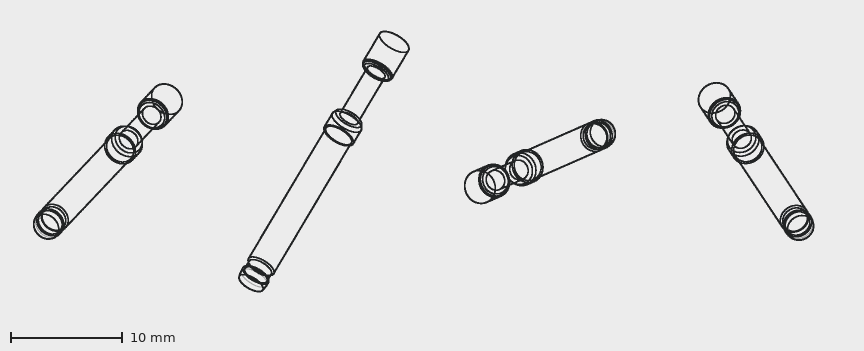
import cadquery as cq

total_length = 27.8
ridge_round_end = 0.6
groove_start = 0.95
groove_end = 1.78
body_start = 1.95
collar_start = 17.0
collar_end = 19.0
lip_start = 24.3
lip_bevel_end = 24.4
head_step = 24.58

head_diameter = 3.0
lip_diameter = 2.84
lip_face_diameter = 2.5
collar_diameter = head_diameter
collar_end_diameter = 2.65
stem_diameter = 1.8
body_diameter = 2.65
groove_diameter = 2.3
tail_end_diameter = 2.45

collar_bevel_length = 0.4


def pin_profile():
    """Half outline in the XY plane: X is the radius, Y runs from tail to head."""
    body_radius = body_diameter / 2
    groove_radius = groove_diameter / 2
    collar_radius = collar_diameter / 2
    stem_radius = stem_diameter / 2
    lip_radius = lip_diameter / 2
    head_radius = head_diameter / 2
    return (
        cq.Workplane("XY")
        .moveTo(0, total_length)
        .lineTo(head_radius, total_length)
        .lineTo(head_radius, head_step)
        .lineTo(lip_radius, head_step)
        .lineTo(lip_radius, lip_bevel_end)
        .lineTo(lip_face_diameter / 2, lip_start)
        .lineTo(stem_radius, lip_start)
        .lineTo(stem_radius, collar_end)
        .lineTo(collar_end_diameter / 2, collar_end)
        .lineTo(collar_radius, collar_end - collar_bevel_length)
        .lineTo(collar_radius, collar_start)
        .lineTo(body_radius, collar_start)
        .lineTo(body_radius, body_start)
        .lineTo(groove_radius, groove_end)
        .lineTo(groove_radius, groove_start)
        .lineTo(body_radius, groove_start)
        .lineTo(body_radius, ridge_round_end)
        .tangentArcPoint((tail_end_diameter / 2, 0), relative=False)
        .lineTo(0, 0)
        .close()
    )


pin = pin_profile().revolve(360, (0, 0, 0), (0, 1, 0))
result = pin.translate((0, -total_length / 2, 0))